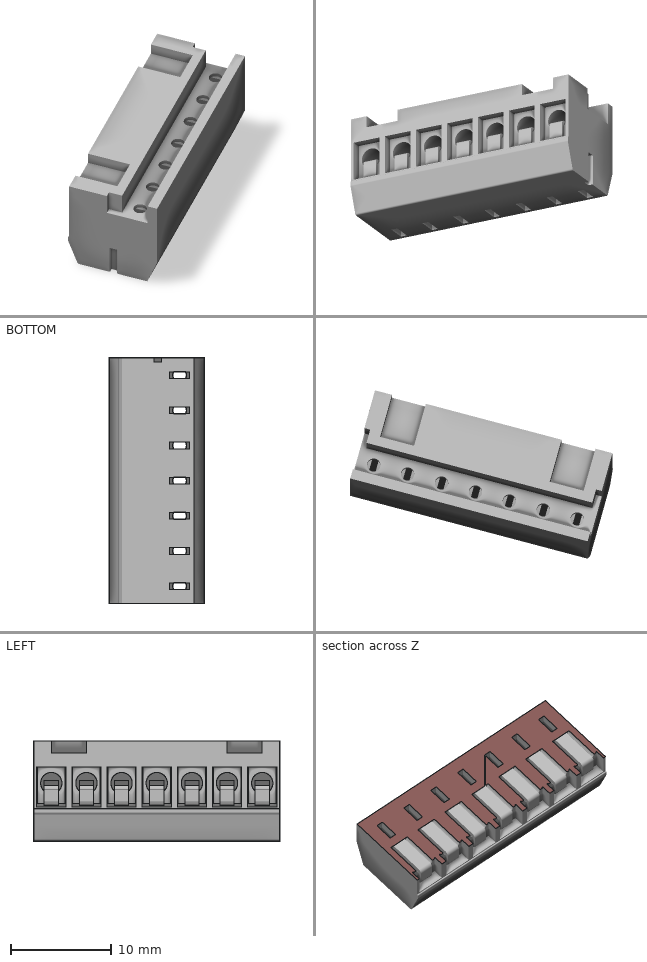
import cadquery as cq
import math


depth = 9.5
height = 10.0
pitch = 3.5
port_count = 7
length = port_count * pitch

ledge_width = 0.13
ledge_top = 3.27
taper_start = 2.77
bottom_inset = 1.05
ledge_round = 0.08
taper_round = 0.2

channel_start = 5.55
channel_end = 8.5
channel_floor = 7.77
end_notch_start = 4.15
end_notch_length = 0.6

recess_end = 4.6
recess_depth = 1.2
recess_offset = length / 2 - pitch

pocket_width = 2.9
pocket_bottom = 3.42
pocket_top = 7.41
pocket_back = ledge_width + 1.08
panel_width = 2.74
panel_bottom = 3.78
panel_thickness = 0.1
panel_front = pocket_back - panel_thickness

bore_radius = 1.06
bore_height = 5.8
bore_end = 5.0
tongue_width = 1.42
tongue_overhang = 0.35
tongue_front = panel_front - tongue_overhang
tongue_bottom = 3.55
tongue_top = 5.55
tongue_round = 0.38
spring_top = 6.06
spring_tilt = math.radians(9)

test_hole_x = (channel_start + channel_end) / 2
test_hole_radius = 0.67
test_hole_depth = 0.4
test_slot_width = 0.66
test_slot_length = 2.0

groove_center = 4.85
groove_width = 0.74
groove_chamfer = 0.08
groove_depth = 0.45
groove_height = 3.18


def box(x_range, y_range, z_range):
    """Box filling the given (low, high) range on each axis."""
    sizes = [high - low for low, high in (x_range, y_range, z_range)]
    corner = (x_range[0], y_range[0], z_range[0])
    return cq.Workplane("XY").box(*sizes, centered=False).translate(corner)


def around(center, width):
    """Range of the given width centred on a position."""
    return (center - width / 2, center + width / 2)


def extrude_along_y(points, center, width):
    """Prism of an XZ outline, centred on a Y position."""
    prism = cq.Workplane("XZ").polyline(points).close().extrude(width / 2, both=True)
    return prism.translate((0, center, 0))


def make_body():
    outline = [
        (bottom_inset, 0),
        (depth - bottom_inset, 0),
        (depth, taper_start),
        (depth, height),
        (ledge_width, height),
        (ledge_width, ledge_top),
        (0, ledge_top),
        (0, taper_start),
    ]
    body = extrude_along_y(outline, 0, length)

    def long_edge(x, z):
        return cq.selectors.NearestToPointSelector((x, 0, z))

    body = body.edges(long_edge(bottom_inset, 0)).fillet(taper_round)
    body = body.edges(long_edge(0, taper_start)).fillet(taper_round)
    return body.edges(long_edge(0, ledge_top)).fillet(ledge_round)


def make_top_cuts():
    z_range = (channel_floor, height)
    cuts = box((channel_start, channel_end), around(0, length), z_range)
    for side in (-1, 1):
        notch_center = side * (length - end_notch_length) / 2
        notch_y = around(notch_center, end_notch_length)
        cuts = cuts.union(box((end_notch_start, channel_end), notch_y, z_range))
        recess_y = around(side * recess_offset, pitch)
        cuts = cuts.union(box((0, recess_end), recess_y, (height - recess_depth, height)))
    return cuts


def make_groove():
    """Keying groove whose two side edges are chamfered at the end face."""
    end_y = -length / 2
    half_width = groove_width / 2
    half_mouth = half_width + groove_chamfer
    outline = [
        (-half_mouth, 0),
        (-half_width, groove_chamfer),
        (-half_width, groove_depth),
        (half_width, groove_depth),
        (half_width, groove_chamfer),
        (half_mouth, 0),
    ]
    groove = cq.Workplane("XY").polyline(outline).close().extrude(groove_height)
    return groove.translate((groove_center, end_y, 0))


def make_entry_cut(y):
    """Rectangular pocket with a raised back panel, and the round bore behind it."""
    pocket = box((0, pocket_back), around(y, pocket_width), (pocket_bottom, pocket_top))
    panel = box((panel_front, pocket_back), around(y, panel_width), (panel_bottom, pocket_top))
    bore = (
        cq.Workplane("YZ", origin=(panel_front, y, bore_height))
        .circle(bore_radius)
        .extrude(bore_end - panel_front)
    )
    return pocket.cut(panel).union(bore)


def make_tongue(y):
    """Clamp tongue with a rounded nose and a leaning spring leaf at the end of the bore."""
    tongue = box((tongue_front, bore_end), around(y, tongue_width), (tongue_bottom, tongue_top))
    tongue = tongue.edges("<X and |Y").fillet(tongue_round)
    lean = (spring_top - tongue_top) * math.tan(spring_tilt)
    leaf_outline = [
        (bore_end, tongue_top),
        (bore_end - lean, spring_top),
        (bore_end, spring_top),
    ]
    return tongue.union(extrude_along_y(leaf_outline, y, tongue_width))


def make_test_hole(y):
    """Shallow round hole that narrows to a slot through the body."""
    hole_bottom = channel_floor - test_hole_depth
    hole = (
        cq.Workplane("XY", origin=(test_hole_x, y, hole_bottom))
        .circle(test_hole_radius)
        .extrude(test_hole_depth)
    )
    slot_x = around(test_hole_x, test_slot_length)
    slot = box(slot_x, around(y, test_slot_width), (0, hole_bottom))
    return hole.union(slot)


result = make_body().cut(make_top_cuts()).cut(make_groove())
for index in range(port_count):
    port_y = (index - (port_count - 1) / 2) * pitch
    result = result.cut(make_entry_cut(port_y))
    result = result.union(make_tongue(port_y))
    result = result.cut(make_test_hole(port_y))